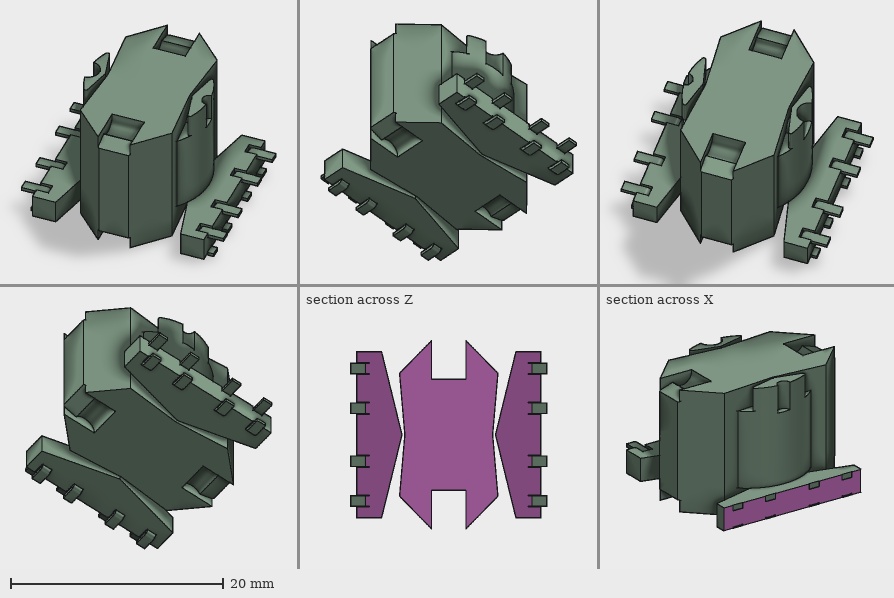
import cadquery as cq
import math

pin_thickness = 0.35
bobbin_height = 12.7
core_height = 12.6
bobbin_bottom = pin_thickness
bobbin_top = bobbin_bottom + bobbin_height
core_bottom = bobbin_bottom + (bobbin_height - core_height) / 2
core_top = core_bottom + core_height

core_half_length = 9.0
core_end_half_width = 1.5
core_shoulder_half_width = 4.65
core_shoulder_y = 5.8
core_waist_half_width = 4.15

recess_width = 3.25
recess_end_depth = 1.25
recess_crest_depth = 0.75
recess_crest_y = 7.4
recess_inner_y = 5.25
groove_center_depth = 0.15

drum_radius = 12.3 / 2
foot_thickness = 2.4
drum_bottom = bobbin_bottom + foot_thickness
post_height = 2.35
drum_top = bobbin_top - post_height
drum_height = drum_top - drum_bottom

foot_outer_x = 8.7
foot_half_length = 7.85
foot_corner_x = 6.33
foot_tip_x = 4.4

post_tip_fillet = 0.2
notch_depth = 2.85
left_notch_radius = 1.15
right_notch_radius = 0.7
ridge_radius = 1.5
ridge_half_width = 1.27
ridge_start_x = 4.0
ridge_end_x = 4.8

pin_positions = (-6.25, -2.5, 2.5, 6.25)
pin_width = 1.0
pin_inner_x = 7.5
upper_arm_end_x = 10.25
lower_arm_end_x = 9.25
pin_top_gap = 0.22
bend_inner_radius = 0.17
bend_outer_radius = bend_inner_radius + pin_thickness
pocket_width = 1.1
upper_pocket_depth = pin_top_gap + pin_thickness
lower_pocket_depth = bend_inner_radius


def drum(height):
    """Round drum that runs through the core, built up to a given height."""
    return cq.Workplane("XY").workplane(offset=drum_bottom).circle(drum_radius).extrude(height)


def clip_recess():
    """Recess at the +Y end of the core top: an outward slope and a round groove behind it."""
    crest_drop = recess_crest_depth - groove_center_depth
    span = recess_crest_y - recess_inner_y
    radius = (span**2 + crest_drop**2) / (2 * span)
    groove_y = recess_inner_y + radius
    groove_z = core_top - groove_center_depth
    return (
        cq.Workplane("YZ")
        .workplane(offset=-recess_width / 2)
        .moveTo(recess_inner_y, core_top)
        .lineTo(recess_inner_y, groove_z)
        .threePointArc((groove_y, groove_z - radius), (recess_crest_y, core_top - recess_crest_depth))
        .lineTo(core_half_length, core_top - recess_end_depth)
        .lineTo(core_half_length, core_top)
        .close()
        .extrude(recess_width)
    )


def make_core():
    """Waisted core with a window for the drum and four clip recesses."""
    quarter = [
        (core_waist_half_width, 0),
        (core_shoulder_half_width, core_shoulder_y),
        (core_end_half_width, core_half_length),
    ]
    right_side = [(x, -y) for x, y in reversed(quarter[1:])] + quarter
    left_side = [(-x, -y) for x, y in right_side]
    body = (
        cq.Workplane("XY")
        .workplane(offset=core_bottom)
        .polyline(right_side + left_side)
        .close()
        .extrude(core_height)
    )
    middle = (0, 0, (core_bottom + core_top) / 2)
    back_top = clip_recess()
    back_bottom = back_top.mirror("XY", middle)
    for recess in (back_top, back_bottom, back_top.mirror("XZ"), back_bottom.mirror("XZ")):
        body = body.cut(recess)
    return body.cut(drum(drum_height))


def foot():
    """Foot on the -X side whose inner edge comes to a blunt point at the middle."""
    return (
        cq.Workplane("XY")
        .workplane(offset=bobbin_bottom)
        .polyline([
            (-foot_outer_x, -foot_half_length),
            (-foot_corner_x, -foot_half_length),
            (-foot_tip_x, 0),
            (-foot_corner_x, foot_half_length),
            (-foot_outer_x, foot_half_length),
        ])
        .close()
        .extrude(foot_thickness)
    )


def gap_between_posts():
    """Hexagonal gap above the drum that leaves a post standing on either side."""
    return (
        cq.Workplane("XY")
        .workplane(offset=drum_top)
        .polyline([
            (-foot_tip_x, 0),
            (-foot_corner_x, foot_half_length),
            (foot_corner_x, foot_half_length),
            (foot_tip_x, 0),
            (foot_corner_x, -foot_half_length),
            (-foot_corner_x, -foot_half_length),
        ])
        .close()
        .extrude(post_height)
    )


def post_notch(x, radius):
    """Round upright notch in the outer face of a post, reaching down into the drum."""
    return (
        cq.Workplane("XY")
        .workplane(offset=bobbin_top - notch_depth)
        .center(x, 0)
        .circle(radius)
        .extrude(notch_depth)
    )


def drum_with_posts():
    """Drum with two lens-shaped posts on top, their tips rounded and their outer faces notched."""
    body = drum(drum_height + post_height).cut(gap_between_posts())
    body = body.edges("|Z").edges("<Y or >Y").fillet(post_tip_fillet)
    body = body.cut(post_notch(-drum_radius, left_notch_radius))
    return body.cut(post_notch(drum_radius, right_notch_radius))


def ridge():
    """Rounded ridge on the drum between the post and the core."""
    sunk_depth = math.sqrt(ridge_radius**2 - ridge_half_width**2)
    return (
        cq.Workplane("YZ")
        .workplane(offset=-ridge_end_x)
        .center(0, drum_top - sunk_depth)
        .circle(ridge_radius)
        .extrude(ridge_end_x - ridge_start_x)
    )


def pocket(y, bottom, height):
    """Pocket in the outer edge of a foot, around a pin arm."""
    length = foot_outer_x - pin_inner_x
    return (
        cq.Workplane("XY")
        .box(length, pocket_width, height, centered=(False, True, False))
        .translate((-foot_outer_x, y, bottom))
    )


def pin(y):
    """C-shaped flat pin: two arms reach out from an upright leg inside the foot."""
    pin_top = drum_bottom - pin_top_gap
    leg_outer_x = pin_inner_x + pin_thickness
    outer_bend_x = pin_inner_x + bend_outer_radius
    turn = math.sqrt(0.5)
    outer_arc_inset = bend_outer_radius * (1 - turn)
    inner_arc_inset = bend_inner_radius * (1 - turn)
    inner_bend_x = leg_outer_x + bend_inner_radius
    upper_arm_bottom = pin_top - pin_thickness
    lower_arm_top = pin_thickness
    return (
        cq.Workplane("XZ")
        .workplane(offset=-y - pin_width / 2)
        .moveTo(-upper_arm_end_x, pin_top)
        .lineTo(-outer_bend_x, pin_top)
        .threePointArc((-pin_inner_x - outer_arc_inset, pin_top - outer_arc_inset),
                       (-pin_inner_x, pin_top - bend_outer_radius))
        .lineTo(-pin_inner_x, bend_outer_radius)
        .threePointArc((-pin_inner_x - outer_arc_inset, outer_arc_inset), (-outer_bend_x, 0))
        .lineTo(-lower_arm_end_x, 0)
        .lineTo(-lower_arm_end_x, lower_arm_top)
        .lineTo(-inner_bend_x, lower_arm_top)
        .threePointArc((-leg_outer_x - inner_arc_inset, lower_arm_top + inner_arc_inset),
                       (-leg_outer_x, lower_arm_top + bend_inner_radius))
        .lineTo(-leg_outer_x, upper_arm_bottom - bend_inner_radius)
        .threePointArc((-leg_outer_x - inner_arc_inset, upper_arm_bottom - inner_arc_inset),
                       (-inner_bend_x, upper_arm_bottom))
        .lineTo(-upper_arm_end_x, upper_arm_bottom)
        .close()
        .extrude(pin_width)
    )


def bobbin_side(core):
    """Everything on the -X side of the drum: foot with pins, and ridge."""
    side = foot()
    for y in pin_positions:
        side = side.cut(pocket(y, drum_bottom - upper_pocket_depth, upper_pocket_depth))
        side = side.cut(pocket(y, bobbin_bottom, lower_pocket_depth))
    for y in pin_positions:
        side = side.union(pin(y))
    return side.union(ridge().cut(core))


def make_bobbin(core):
    """Drum with posts, and a foot with pins on each side."""
    left_side = bobbin_side(core)
    return drum_with_posts().union(left_side).union(left_side.mirror("YZ"))


core = make_core()
bobbin = make_bobbin(core)

result = cq.Compound.makeCompound([*core.solids().vals(), *bobbin.solids().vals()])